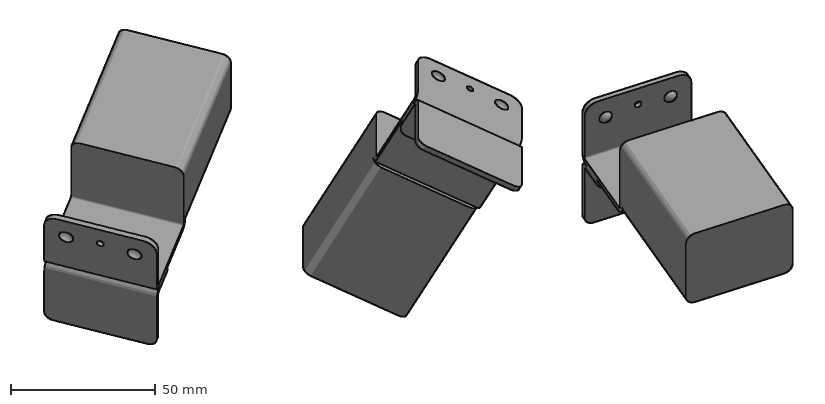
import cadquery as cq

width = 41.0
length = 83.6
height = 61.5

sheet = 2.0
bend_outer_radius = 3.3
bend_inner_radius = 0.8
seam_z = 29.0
upper_plate_top = 55.9
upper_corner_radius = 5.0
lower_corner_radius = 3.5
lower_shelf_depth = 15.3

wall_front_y = 30.35
block_corner_radius = 3.5
block_bottom_z = 29.4

dimple_spacing = 24.9
dimple_z = 47.4
dimple_radius = 2.6
dome_radius = 2.4
dome_height = 1.5
hole_diameter = 2.5
hole_z = 48.5

wall_back_y = wall_front_y + sheet
shelf_top_z = seam_z + sheet
lower_shelf_bottom_z = seam_z - sheet


def slab(y_min, y_max, z_min, z_max):
    """Full-width rectangular slab centred on x = 0."""
    return cq.Workplane("XY").box(
        width, y_max - y_min, z_max - z_min, centered=(True, False, False)
    ).translate((0, y_min, z_min))


def bent_corner(body, outer_y, outer_z, inner_y, inner_z):
    """Round the outer and inner edges of one sheet bend."""
    bends = ((outer_y, outer_z, bend_outer_radius), (inner_y, inner_z, bend_inner_radius))
    for y, z, radius in bends:
        edge = cq.selectors.NearestToPointSelector((0, y, z))
        body = body.edges("|X").edges(edge).fillet(radius)
    return body


def upper_bracket():
    """Front plate, shelf and upright wall bent from one sheet."""
    plate = slab(0, sheet, seam_z, upper_plate_top)
    plate = plate.edges("|Y and >Z").fillet(upper_corner_radius)
    wall = slab(wall_front_y, wall_back_y, seam_z, height)
    wall = wall.edges("|Y and >Z").fillet(block_corner_radius)
    shelf = slab(0, wall_back_y, seam_z, shelf_top_z)
    body = plate.union(shelf).union(wall)
    body = bent_corner(body, 0, seam_z, sheet, shelf_top_z)
    return bent_corner(body, wall_back_y, seam_z, wall_front_y, shelf_top_z)


def lower_bracket():
    """Hanging plate and the short shelf that lies under the upper shelf."""
    plate = slab(0, sheet, 0, seam_z)
    plate = plate.edges("|Y and <Z").fillet(lower_corner_radius)
    shelf = slab(0, lower_shelf_depth, lower_shelf_bottom_z, seam_z)
    shelf = shelf.edges("|Z and >Y").fillet(lower_corner_radius)
    return bent_corner(plate.union(shelf), 0, seam_z, sheet, lower_shelf_bottom_z)


def block():
    """Solid block with four rounded long edges."""
    body = slab(wall_back_y, length, block_bottom_z, height)
    return body.edges("|Y").fillet(block_corner_radius)


def add_dimple(body, x):
    """Spherical hollow in the front face with a dome behind it."""
    dome_sphere_radius = (dome_radius**2 + dome_height**2) / (2 * dome_height)
    dome_center_y = sheet + dome_height - dome_sphere_radius
    dome = cq.Workplane("XY").sphere(dome_sphere_radius).translate((x, dome_center_y, dimple_z))
    dome = dome.intersect(slab(sheet / 2, 2 * sheet, 0, height))
    hollow = cq.Workplane("XY").sphere(dimple_radius).translate((x, 0, dimple_z))
    return body.union(dome).cut(hollow)


result = upper_bracket().union(lower_bracket()).union(block())
for side in (-1, 1):
    result = add_dimple(result, side * dimple_spacing / 2)

hole = (
    cq.Workplane("XZ")
    .center(0, hole_z)
    .circle(hole_diameter / 2)
    .extrude(-sheet)
)
result = result.cut(hole)